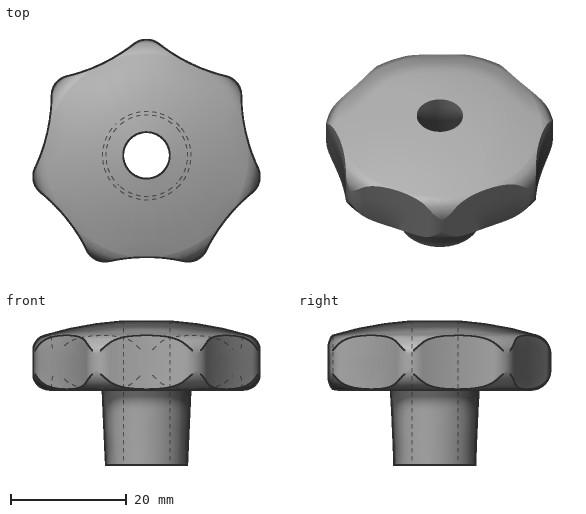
import cadquery as cq
import math

LOBES = 7
PITCH = 2 * math.pi / LOBES
HEAD_WIDTH = 39.17
LOBE_RADIUS = 3.53
VALLEY_RADIUS = 17.6
LOBE_CENTRE = (HEAD_WIDTH / 2 - LOBE_RADIUS) / math.cos(PITCH / 4)
TIP_RADIUS = LOBE_CENTRE + LOBE_RADIUS

TOTAL_HEIGHT = 24.87
STEM_HEIGHT = 12.95
RIM_HEIGHT = 22.4

STEM_BASE_RADIUS = 7.05
STEM_TOP_RADIUS = 7.65
BORE_RADIUS = 4.0

EDGE_ROUND = 3.5


def polar(radius, angle):
    """Two-coordinate offset of the given length and direction."""
    return radius * math.cos(angle), radius * math.sin(angle)


def head_prism():
    """Lobed prism: convex lobes joined by tangent concave scallops."""
    across = LOBE_CENTRE * math.sin(PITCH / 2)
    gap = VALLEY_RADIUS - LOBE_CENTRE * math.cos(PITCH / 2)
    scallop = (across**2 + gap**2 - LOBE_RADIUS**2) / (2 * (LOBE_RADIUS - gap))
    swing = math.asin(across / (scallop + LOBE_RADIUS))
    half_arc = PITCH / 2 + swing

    def lobe_end(tip_angle, side):
        x, y = polar(LOBE_CENTRE, tip_angle)
        dx, dy = polar(LOBE_RADIUS, tip_angle + side * half_arc)
        return x + dx, y + dy

    first_tip = math.pi / 2
    outline = cq.Workplane("XY", origin=(0, 0, STEM_HEIGHT)).moveTo(*lobe_end(first_tip, -1))
    for i in range(LOBES):
        tip = first_tip + i * PITCH
        outline = outline.threePointArc(polar(TIP_RADIUS, tip), lobe_end(tip, 1))
        outline = outline.threePointArc(polar(VALLEY_RADIUS, tip + PITCH / 2), lobe_end(tip + PITCH, -1))
    return outline.close().extrude(TOTAL_HEIGHT - STEM_HEIGHT)


def dome_middle():
    """Midpoint of the dome arc, whose centre lies on the axis."""
    rise = TOTAL_HEIGHT - RIM_HEIGHT
    depth = (VALLEY_RADIUS**2 - BORE_RADIUS**2 - rise**2) / (2 * rise)
    centre = RIM_HEIGHT - depth
    radius = math.hypot(VALLEY_RADIUS, depth)
    middle = (VALLEY_RADIUS + BORE_RADIUS) / 2
    return middle, centre + math.sqrt(radius**2 - middle**2)


def head_envelope():
    """Turned shape that domes the head and rounds its edges."""
    side = TIP_RADIUS
    inner = side - EDGE_ROUND
    low = STEM_HEIGHT + EDGE_ROUND
    reach = VALLEY_RADIUS - inner
    high = RIM_HEIGHT - math.sqrt(EDGE_ROUND**2 - reach**2)
    diagonal = EDGE_ROUND * math.sqrt(0.5)
    half_turn = math.atan2(RIM_HEIGHT - high, reach) / 2
    upper_dx, upper_dz = polar(EDGE_ROUND, half_turn)
    return (
        cq.Workplane("XZ")
        .moveTo(0, STEM_HEIGHT)
        .lineTo(inner, STEM_HEIGHT)
        .threePointArc((inner + diagonal, low - diagonal), (side, low))
        .lineTo(side, high)
        .threePointArc((inner + upper_dx, high + upper_dz), (VALLEY_RADIUS, RIM_HEIGHT))
        .threePointArc(dome_middle(), (BORE_RADIUS, TOTAL_HEIGHT))
        .lineTo(0, TOTAL_HEIGHT)
        .close()
        .revolve(360, (0, 0, 0), (0, 1, 0))
    )


def stem():
    """Stem that tapers towards its lower end."""
    return cq.Workplane(cq.Solid.makeCone(STEM_BASE_RADIUS, STEM_TOP_RADIUS, STEM_HEIGHT))


def bore():
    """Plain hole through the whole knob."""
    return cq.Workplane("XY").circle(BORE_RADIUS).extrude(TOTAL_HEIGHT)


head = head_prism().intersect(head_envelope())
result = head.union(stem()).cut(bore())